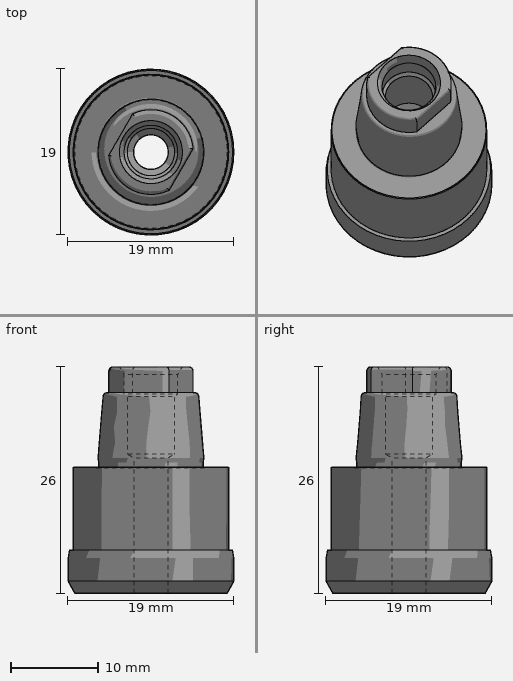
import cadquery as cq
import math

total_height = 25.95
shoulder_z = 14.5
boss_height = 2.95
stem_top_z = total_height - boss_height

collar_radius = 9.51
collar_foot_radius = 8.74
collar_foot_height = 1.4
collar_top_z = 4.95
collar_bevel_height = 0.95
collar_bevel_width = 0.16

body_radius = 8.92
body_edge_chamfer = 0.1

seat_radius = 6.77
seat_slope_deg = 15.0
seat_fillet = 0.2

stem_foot_radius = 6.0
stem_foot_top_z = 14.95
stem_max_radius = 6.08
stem_max_z = 15.5
stem_top_radius = 5.46
stem_top_fillet = 0.5

boss_radius = 4.85
flat_distance = 4.0
flat_angle_deg = -30.0
boss_top_fillet = 0.5

mouth_radius = 3.61
mouth_cone_radius = 3.25
mouth_cone_depth = 0.5
upper_bore_radius = 3.07
upper_bore_start = 0.9
upper_bore_end = 3.1
lower_bore_radius = 2.71
lower_bore_start = 3.42
lower_bore_end = 10.0
through_radius = 1.97
floor_half_angle_deg = 60.0
floor_cone_height = (lower_bore_radius - through_radius) / math.tan(math.radians(floor_half_angle_deg))


def revolved(profile):
    """Turn a closed (radius, z) profile about the Z axis."""
    return profile.close().revolve(360, (0, 0, 0), (0, 1, 0))


def make_body():
    """Collar and cylindrical body as one turned solid."""
    profile = (
        cq.Workplane("XZ")
        .moveTo(0, 0)
        .lineTo(collar_foot_radius, 0)
        .lineTo(collar_radius, collar_foot_height)
        .lineTo(collar_radius, collar_top_z - collar_bevel_height)
        .lineTo(collar_radius - collar_bevel_width, collar_top_z)
        .lineTo(body_radius, collar_top_z)
        .lineTo(body_radius, shoulder_z - body_edge_chamfer)
        .lineTo(body_radius - body_edge_chamfer, shoulder_z)
        .lineTo(0, shoulder_z)
    )
    return revolved(profile)


def make_seat_cutter():
    """Shallow cone that sinks from the shoulder down towards the stem and rounds up into it."""
    slope = math.radians(seat_slope_deg)
    fillet_center_radius = stem_foot_radius + seat_fillet
    tangent_radius = fillet_center_radius + seat_fillet * math.sin(slope)
    tangent_z = shoulder_z - (seat_radius - tangent_radius) * math.tan(slope)
    fillet_center_z = tangent_z + seat_fillet * math.cos(slope)
    arc_mid_angle = math.pi + (math.pi / 2 + slope) / 2
    arc_mid = (
        fillet_center_radius + seat_fillet * math.cos(arc_mid_angle),
        fillet_center_z + seat_fillet * math.sin(arc_mid_angle),
    )
    profile = (
        cq.Workplane("XZ")
        .moveTo(seat_radius, shoulder_z)
        .lineTo(tangent_radius, tangent_z)
        .threePointArc(arc_mid, (stem_foot_radius, fillet_center_z))
        .lineTo(stem_foot_radius, stem_foot_top_z)
        .lineTo(seat_radius, stem_foot_top_z)
    )
    return revolved(profile)


def make_stem():
    """Tapered stem with a slightly narrower foot and a rounded top edge."""
    profile = (
        cq.Workplane("XZ")
        .moveTo(0, 0)
        .lineTo(stem_foot_radius, 0)
        .lineTo(stem_foot_radius, stem_foot_top_z)
        .lineTo(stem_max_radius, stem_max_z)
        .lineTo(stem_top_radius, stem_top_z)
        .lineTo(0, stem_top_z)
    )
    return revolved(profile).faces(">Z").edges().fillet(stem_top_fillet)


def make_boss():
    """Round boss with two parallel flats and a rounded top edge."""
    flats = cq.Workplane("XY").box(
        2 * flat_distance, 2 * boss_radius, total_height, centered=(True, True, False)
    )
    boss = cq.Workplane("XY").circle(boss_radius).extrude(total_height).intersect(flats)
    boss = boss.faces(">Z").edges().fillet(boss_top_fillet)
    return boss.rotate((0, 0, 0), (0, 0, 1), flat_angle_deg)


def make_bore_cutter():
    """Stepped bore, widening in cones towards the top."""
    profile = (
        cq.Workplane("XZ")
        .moveTo(0, 0)
        .lineTo(through_radius, 0)
        .lineTo(through_radius, total_height - lower_bore_end - floor_cone_height)
        .lineTo(lower_bore_radius, total_height - lower_bore_end)
        .lineTo(lower_bore_radius, total_height - lower_bore_start)
        .lineTo(upper_bore_radius, total_height - upper_bore_end)
        .lineTo(upper_bore_radius, total_height - upper_bore_start)
        .lineTo(mouth_cone_radius, total_height - mouth_cone_depth)
        .lineTo(mouth_radius, total_height)
        .lineTo(0, total_height)
    )
    return revolved(profile)


result = (
    make_body()
    .cut(make_seat_cutter())
    .union(make_stem())
    .union(make_boss())
    .cut(make_bore_cutter())
)